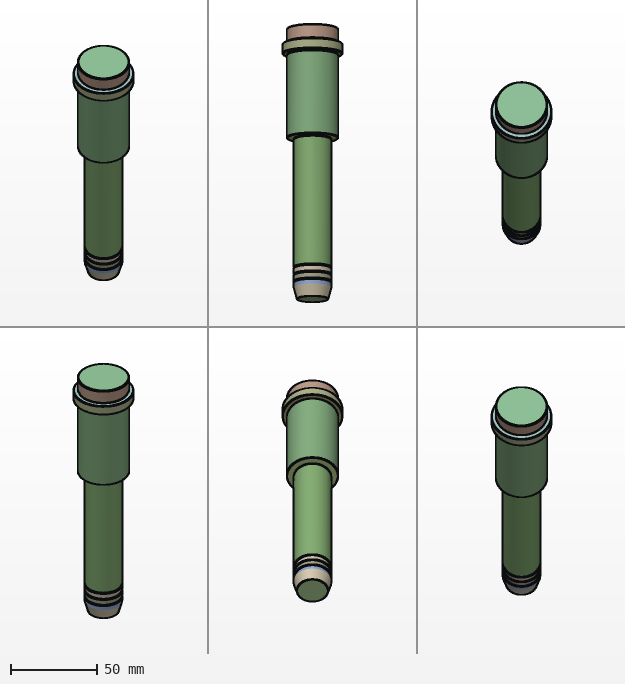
import cadquery as cq

total_height = 160.0
head_radius = 30.0 / 2
collar_radius = 35.0 / 2
shaft_radius = 22.0 / 2
tip_radius = 9.1
taper_height = 7.0
sleeve_bottom = 95.2
collar_bottom = 145.0
collar_top = 151.0

head_chamfer = 0.6
sleeve_chamfer = 0.5
collar_chamfer = 0.5
tip_chamfer = 0.3

relief_width = 1.0
relief_depth = 0.5
neck_width = 0.8
neck_depth = 0.5
shaft_top = sleeve_bottom - neck_width

groove_width = 1.1
groove_depth = 0.5
groove_count = 3
groove_spacing = 4.2
lowest_groove = 10.2


def cylinder(radius, bottom, top):
    return cq.Workplane("XY").workplane(offset=bottom).circle(radius).extrude(top - bottom)


def revolve_profile(points):
    """Solid of revolution about Z from (radius, height) points."""
    return cq.Workplane("XZ").polyline(points).close().revolve(360, (0, 0, 0), (0, 1, 0))


def vee_groove(center):
    """Cutter for a V-shaped groove around the shaft."""
    return revolve_profile([
        (shaft_radius, center - groove_width / 2),
        (shaft_radius - groove_depth, center),
        (shaft_radius, center + groove_width / 2),
    ])


def collar_relief(collar_face, direction):
    """Cutter for the undercut beside a collar face, with a 45 degree far flank."""
    far_edge = collar_face + direction * relief_width
    return revolve_profile([
        (head_radius, collar_face),
        (head_radius - relief_depth, collar_face),
        (head_radius - relief_depth, far_edge - direction * relief_depth),
        (head_radius, far_edge),
    ])


shaft = cylinder(shaft_radius, taper_height, shaft_top)
tip = (
    cq.Workplane("XY")
    .circle(tip_radius)
    .workplane(offset=taper_height)
    .circle(shaft_radius)
    .loft(ruled=True)
    .faces("<Z")
    .chamfer(tip_chamfer)
)
shaft = shaft.union(tip)
for index in range(groove_count):
    shaft = shaft.cut(vee_groove(lowest_groove + index * groove_spacing))

neck = cylinder(shaft_radius - neck_depth, shaft_top, sleeve_bottom)

body = cylinder(head_radius, sleeve_bottom, total_height)
body = body.faces(">Z").chamfer(head_chamfer)
body = body.faces("<Z").chamfer(sleeve_chamfer)
body = body.cut(collar_relief(collar_bottom, -1))
body = body.cut(collar_relief(collar_top, 1))

collar = cylinder(collar_radius, collar_bottom, collar_top).edges().chamfer(collar_chamfer)

result = shaft.union(neck).union(body).union(collar)